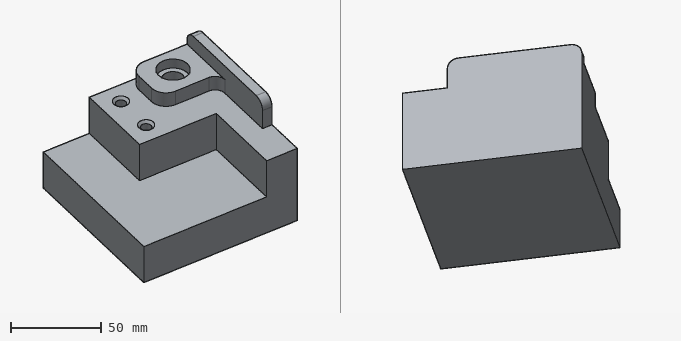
import cadquery as cq

side = 101.6
module = side / 16

base_height = 4 * module
step_height = 8 * module
step_front_y = 30.5
step_inner_x = side / 2
back_arm_depth = 20.3

wall_length = 12 * module
wall_thickness = module
wall_top = 11 * module
wall_corner_radius = module

pad_width = 5 * module
pad_front_y = 9 * module
pad_height = 1.5 * module
pad_corner_radius = 1.5 * module
pad_root_radius = module

bore_x = 14.9
bore_y = 12 * module
bore_diameter = 2 * module
bore_depth = 4 * module
counterbore_diameter = 3 * module
counterbore_depth = module

screw_xs = (2 * module, 6 * module)
screw_y = step_front_y + 2 * module
screw_diameter = module
screw_depth = 2 * module
countersink_diameter = 1.5 * module
countersink_angle = 90.0

wall_front_y = side - wall_thickness
pad_top = step_height + pad_height


def make_base():
    return cq.Workplane("XY").box(side, side, base_height, centered=False)


def make_step():
    """L-shaped step: a front-left leg and an arm along the rear edge."""
    arm_front_y = side - back_arm_depth
    return (
        cq.Workplane("XY")
        .moveTo(0, step_front_y)
        .lineTo(step_inner_x, step_front_y)
        .lineTo(step_inner_x, arm_front_y)
        .lineTo(side, arm_front_y)
        .lineTo(side, side)
        .lineTo(0, side)
        .close()
        .extrude(step_height)
    )


def make_wall():
    """Rear wall with rounded top corners."""
    wall = cq.Workplane("XY").box(wall_length, wall_thickness, wall_top, centered=False)
    wall = wall.edges("|Y and >Z").fillet(wall_corner_radius)
    return wall.translate((0, wall_front_y, 0))


def make_pad():
    """Pad with two rounded front corners and a concave root blending into the wall."""
    pad_length = wall_front_y - pad_front_y
    pad = cq.Workplane("XY").box(pad_width, pad_length, pad_height, centered=False)
    pad = pad.edges("|Z and <Y").fillet(pad_corner_radius)

    root_start = (pad_width, pad_length - pad_root_radius)
    root_end = (pad_width + pad_root_radius, pad_length)
    root = (
        cq.Workplane("XY")
        .moveTo(*root_start)
        .radiusArc(root_end, pad_root_radius)
        .lineTo(pad_width, pad_length)
        .close()
        .extrude(pad_height)
    )
    return pad.union(root).translate((0, pad_front_y, step_height))


def drill_pad(body):
    return (
        body.copyWorkplane(cq.Workplane("XY", origin=(0, 0, pad_top)))
        .center(bore_x, bore_y)
        .cboreHole(bore_diameter, counterbore_diameter, counterbore_depth, bore_depth)
    )


def drill_step(body):
    return (
        body.copyWorkplane(cq.Workplane("XY", origin=(0, 0, step_height)))
        .pushPoints([(x, screw_y) for x in screw_xs])
        .cskHole(screw_diameter, countersink_diameter, countersink_angle, screw_depth)
    )


body = make_base().union(make_step()).union(make_wall()).union(make_pad())
result = drill_step(drill_pad(body))